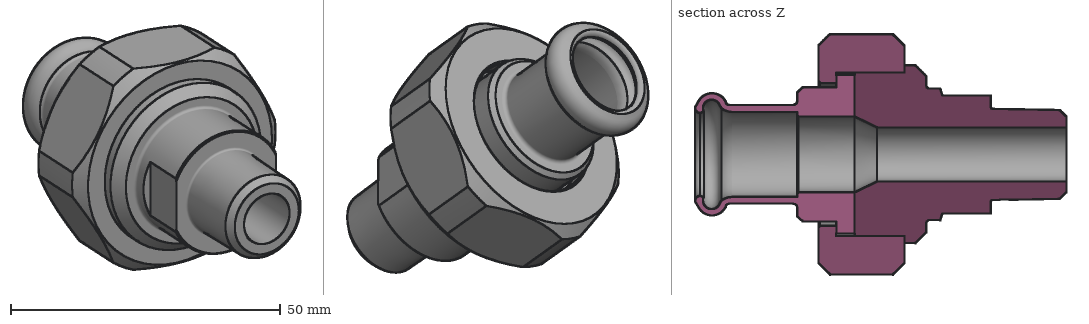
import cadquery as cq
import math

total_length = 69.0

nut_start = 22.9
nut_end = 38.9
nut_length = nut_end - nut_start
across_flats = 41.0
corner_diameter = 44.7
nut_chamfer = 2.15
nut_lip_bore = 26.5
nut_lip_chamfer = 0.35
thread_diameter = 30.3

seat_x = 26.2
joint_x = 29.7

tube_radius = 18.4 / 2
tube_bore_radius = 15.7 / 2
mouth_radius = 15.3 / 2
mouth_edge_radius = 8.75
mouth_end_x = 1.0
mouth_lip_mid_x = 0.35
mouth_lip_mid_radius = 7.95
bead_start_x = 0.7
bead_peak_x = 3.1
bead_end_x = 5.7
bead_end_radius = 9.8
bead_edge_radius = 9.95
bead_peak_radius = 11.4
bead_blend_end_x = 6.35
bead_blend_mid_x = 5.9
bead_blend_mid_radius = 9.4
bead_wall = 1.25
groove_start_x = 1.65
groove_start_radius = 7.95
groove_end_x = 4.55
groove_end_radius = 9.2
bore_blend_x = 4.9
bore_blend_radius = 8.55
tube_bore_start_x = 7.0
collar_x = 19.0
collar_radius = 25.0 / 2
collar_chamfer_length = 1.05
collar_chamfer_depth = 1.0
collar_fillet = 0.75
flange_radius = 29.5 / 2
stop_bore_radius = 14.0 / 2
stop_chamfer = 0.3

cone_length = 4.15
through_bore_radius = 10.0 / 2
rim_radius = 33.1 / 2
rim_chamfer_x = 40.9
rim_end_x = 43.0
rim_chamfer = rim_end_x - rim_chamfer_x
shoulder_radius = 24.5 / 2
shoulder_fillet = 0.55
shoulder_end_x = 54.9
shoulder_end_chamfer = 0.2
nose_root_radius = 8.5
nose_tip_radius = 8.3
nose_fillet = 0.4
nose_chamfer_length = 1.3
nose_chamfer_depth = 1.25
wrench_half_width = 11.0
wrench_start_x = 45.95
wrench_run_out = 0.4


def revolve_about_x(profile):
    """Revolve a closed (x, radius) profile once around the X axis."""
    return profile.close().revolve(360, (0, 0, 0), (1, 0, 0))


def concave_fillet_mid(center_x, center_radius, fillet, x_sign):
    """Middle point of a quarter fillet that faces the axis on the given X side."""
    reach = fillet * math.sqrt(0.5)
    return (center_x + x_sign * reach, center_radius - reach)


def make_tailpiece():
    fillet_mid = concave_fillet_mid(collar_x - collar_fillet, tube_radius + collar_fillet, collar_fillet, 1)
    return revolve_about_x(
        cq.Workplane("XY")
        .moveTo(0, mouth_edge_radius)
        .lineTo(bead_start_x, bead_edge_radius)
        .threePointArc((bead_peak_x, bead_peak_radius), (bead_end_x, bead_end_radius))
        .threePointArc((bead_blend_mid_x, bead_blend_mid_radius), (bead_blend_end_x, tube_radius))
        .lineTo(collar_x - collar_fillet, tube_radius)
        .threePointArc(fillet_mid, (collar_x, tube_radius + collar_fillet))
        .lineTo(collar_x, collar_radius - collar_chamfer_depth)
        .lineTo(collar_x + collar_chamfer_length, collar_radius)
        .lineTo(seat_x, collar_radius)
        .lineTo(seat_x, flange_radius)
        .lineTo(joint_x, flange_radius)
        .lineTo(joint_x, stop_bore_radius)
        .lineTo(collar_x + stop_chamfer, stop_bore_radius)
        .lineTo(collar_x, stop_bore_radius + stop_chamfer)
        .lineTo(collar_x, tube_bore_radius)
        .lineTo(tube_bore_start_x, tube_bore_radius)
        .tangentArcPoint((bore_blend_x, bore_blend_radius), relative=False)
        .lineTo(groove_end_x, groove_end_radius)
        .threePointArc((bead_peak_x, bead_peak_radius - bead_wall), (groove_start_x, groove_start_radius))
        .lineTo(mouth_end_x, mouth_radius)
        .threePointArc((mouth_lip_mid_x, mouth_lip_mid_radius), (0, mouth_edge_radius))
    )


def make_nut():
    hexagon = (
        cq.Workplane("YZ")
        .workplane(offset=nut_start)
        .polygon(6, across_flats / math.cos(math.pi / 6))
        .extrude(nut_length)
    )
    chamfered_round = (
        cq.Workplane("YZ")
        .workplane(offset=nut_start)
        .circle(corner_diameter / 2)
        .extrude(nut_length)
        .faces("<X or >X")
        .chamfer(nut_chamfer)
    )
    bore = revolve_about_x(
        cq.Workplane("XY")
        .moveTo(nut_start, 0)
        .lineTo(nut_start, nut_lip_bore / 2 + nut_lip_chamfer)
        .lineTo(nut_start + nut_lip_chamfer, nut_lip_bore / 2)
        .lineTo(seat_x, nut_lip_bore / 2)
        .lineTo(seat_x, thread_diameter / 2)
        .lineTo(nut_end, thread_diameter / 2)
        .lineTo(nut_end, 0)
    )
    return hexagon.intersect(chamfered_round).cut(bore)


def make_wrench_cutter(side):
    """Material removed for one wrench flat; side is +1 or -1 along Y."""
    depth = shoulder_radius - wrench_half_width
    outer_y = wrench_half_width + 2 * depth
    return (
        cq.Workplane("XY")
        .moveTo(wrench_start_x, side * wrench_half_width)
        .lineTo(wrench_start_x - 2 * wrench_run_out, side * outer_y)
        .lineTo(shoulder_end_x, side * outer_y)
        .lineTo(shoulder_end_x, side * wrench_half_width)
        .close()
        .extrude(shoulder_radius, both=True)
    )


def make_male_end():
    shoulder_mid = concave_fillet_mid(
        rim_end_x + shoulder_fillet, shoulder_radius + shoulder_fillet, shoulder_fillet, -1
    )
    nose_mid = concave_fillet_mid(
        shoulder_end_x + nose_fillet, nose_root_radius + nose_fillet, nose_fillet, -1
    )
    body = revolve_about_x(
        cq.Workplane("XY")
        .moveTo(joint_x, stop_bore_radius)
        .lineTo(joint_x, thread_diameter / 2)
        .lineTo(nut_end, thread_diameter / 2)
        .lineTo(nut_end, rim_radius)
        .lineTo(rim_chamfer_x, rim_radius)
        .lineTo(rim_end_x, rim_radius - rim_chamfer)
        .lineTo(rim_end_x, shoulder_radius + shoulder_fillet)
        .threePointArc(shoulder_mid, (rim_end_x + shoulder_fillet, shoulder_radius))
        .lineTo(shoulder_end_x - shoulder_end_chamfer, shoulder_radius)
        .lineTo(shoulder_end_x, shoulder_radius - shoulder_end_chamfer)
        .lineTo(shoulder_end_x, nose_root_radius + nose_fillet)
        .threePointArc(nose_mid, (shoulder_end_x + nose_fillet, nose_root_radius))
        .lineTo(total_length - nose_chamfer_length, nose_tip_radius)
        .lineTo(total_length, nose_tip_radius - nose_chamfer_depth)
        .lineTo(total_length, through_bore_radius)
        .lineTo(joint_x + cone_length, through_bore_radius)
    )
    for side in (1, -1):
        body = body.cut(make_wrench_cutter(side))
    return body


tailpiece = make_tailpiece()
nut = make_nut()
male_end = make_male_end()

result = cq.Compound.makeCompound([tailpiece.val(), nut.val(), male_end.val()])